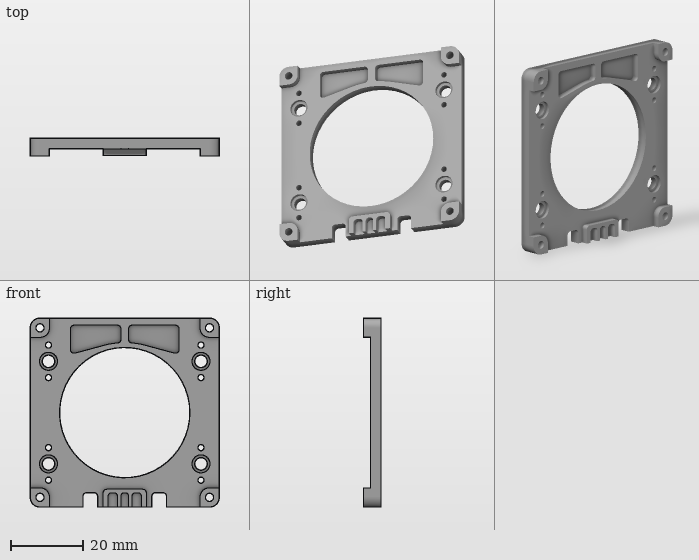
import cadquery as cq
import math

side = 52.4
total_depth = 5.0
plate_depth = 3.0
corner_radius = 2.7
bore_diameter = 36.0

pad_size = 5.35
pad_radius = 2.5
corner_hole_diameter = 2.2

mount_x = 21.1
mount_z = 14.2
mount_diameter = 3.4
counterbore_diameter = 5.0
counterbore_depth = 1.0
pin_diameter = 1.6
pin_spacing = 4.5

pocket_inner_x = 1.05
pocket_outer_x = 15.05
pocket_top_z = 24.2
pocket_outer_z = 16.15
pocket_arc_radius = 22.0
pocket_slope = math.radians(15.0)
pocket_radius = 1.0
pocket_depth = 2.0

notch_x = 9.55
notch_width = 4.05
notch_height = 4.0
notch_radius = 1.0
boss_width = 11.95
boss_height = 5.0
boss_depth = 1.85
boss_radius = 1.0
slot_height = notch_height
slot_radius = notch_radius
middle_slot_width = 2.2
outer_slot_width = 2.6
outer_slot_x = 3.3

half = side / 2
back_y = total_depth / 2
front_y = -total_depth / 2
face_y = back_y - plate_depth
corner_hole_offset = half - corner_radius


def section(y):
    """Sketch plane at the given Y: local x is X, local y is Z, extrusion goes toward -Y."""
    return cq.Workplane("XZ", origin=(0, y, 0))


def four_corners(x, z):
    """Four points mirrored about both centre lines."""
    return [(sx * x, sz * z) for sx in (-1, 1) for sz in (-1, 1)]


def through_holes(points, diameter):
    """Round cutters through the full depth."""
    return section(back_y).pushPoints(points).circle(diameter / 2).extrude(total_depth)


def bottom_tab(x, width, height, radius, y_start, depth):
    """Block standing on the bottom edge with its two upper corners rounded."""
    block = section(y_start).center(x, height / 2 - half).rect(width, height).extrude(depth)
    return block.edges("|Y and >Z").fillet(radius)


def corner_pads():
    """Raised pads at the four corners, rounded toward the middle of the plate."""
    centre = half - pad_size / 2
    pads = cq.Workplane()
    for x, z in four_corners(centre, centre):
        pad = section(face_y).center(x, z).rect(pad_size, pad_size).extrude(face_y - front_y)
        inner_x = "<X" if x > 0 else ">X"
        inner_z = "<Z" if z > 0 else ">Z"
        pads = pads.add(pad.edges("|Y").edges(inner_x).edges(inner_z).fillet(pad_radius))
    return pads.combine()


def pocket():
    """Pocket at +X: a straight lower edge rises from the outer wall into a tangent arc above the bore."""
    tangent_x = pocket_arc_radius * math.sin(pocket_slope)
    tangent_z = pocket_outer_z + (pocket_outer_x - tangent_x) * math.tan(pocket_slope)
    arc_centre_z = tangent_z - pocket_arc_radius * math.cos(pocket_slope)

    def arc_point(angle):
        return (pocket_arc_radius * math.sin(angle), arc_centre_z + pocket_arc_radius * math.cos(angle))

    inner_angle = math.asin(pocket_inner_x / pocket_arc_radius)
    body = (
        section(face_y + pocket_depth)
        .moveTo(pocket_inner_x, pocket_top_z)
        .lineTo(*arc_point(inner_angle))
        .threePointArc(arc_point((inner_angle + pocket_slope) / 2), (tangent_x, tangent_z))
        .lineTo(pocket_outer_x, pocket_outer_z)
        .lineTo(pocket_outer_x, pocket_top_z)
        .close()
        .extrude(pocket_depth)
    )
    walls = body.edges("|Y").edges("<X or >X")
    return walls.fillet(pocket_radius)


envelope = section(back_y).rect(side, side).extrude(total_depth).edges("|Y").fillet(corner_radius)
result = section(back_y).rect(side, side).extrude(plate_depth)
result = result.union(corner_pads()).intersect(envelope)
result = result.union(bottom_tab(0, boss_width, boss_height, boss_radius, face_y, boss_depth))

corner_points = four_corners(corner_hole_offset, corner_hole_offset)
mount_points = four_corners(mount_x, mount_z)
pin_points = [(x, z + dz) for x, z in mount_points for dz in (-pin_spacing, pin_spacing)]
result = result.cut(through_holes([(0, 0)], bore_diameter))
result = result.cut(through_holes(corner_points, corner_hole_diameter))
result = result.cut(through_holes(mount_points, mount_diameter))
result = result.cut(through_holes(pin_points, pin_diameter))
counterbores = section(face_y + counterbore_depth).pushPoints(mount_points)
result = result.cut(counterbores.circle(counterbore_diameter / 2).extrude(counterbore_depth))

result = result.cut(pocket()).cut(pocket().mirror("YZ"))

for x in (-notch_x, notch_x):
    result = result.cut(bottom_tab(x, notch_width, notch_height, notch_radius, back_y, plate_depth))
for x, width in ((-outer_slot_x, outer_slot_width), (0, middle_slot_width), (outer_slot_x, outer_slot_width)):
    result = result.cut(bottom_tab(x, width, slot_height, slot_radius, face_y, boss_depth))